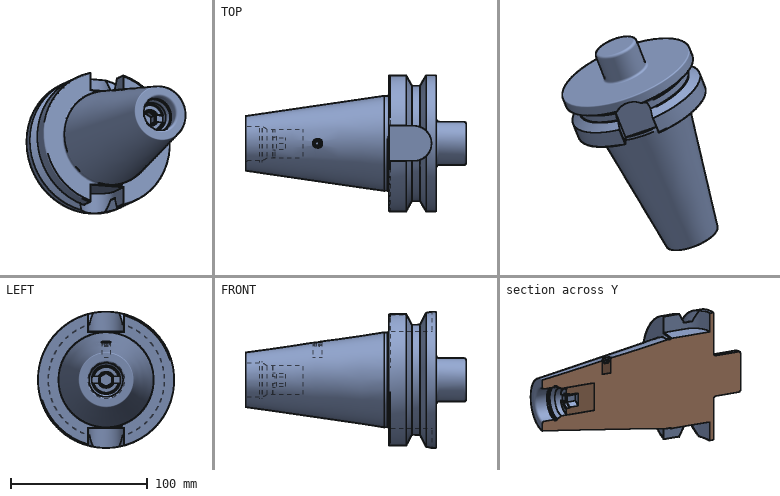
import cadquery as cq
import math

GAUGE_X = 101.8
GAUGE_RADIUS = 35.0
TAPER_SLOPE = 7 / 48
TAPER_END_RADIUS = GAUGE_RADIUS - GAUGE_X * TAPER_SLOPE
TAPER_END_FILLET = 0.6

NECK_START_X = 102.7
NECK_RADIUS = 34.8

FLANGE_FRONT_X = 104.8
FLANGE_BACK_X = 139.8
FLANGE_RADIUS = 50.0
EDGE_FILLET = 1.0
GROOVE_FILLET = 0.6
GROOVE_FLOOR_RADIUS = 42.4
GROOVE_START_X = 117.6
GROOVE_FLOOR_START_X = 121.8
GROOVE_FLOOR_END_X = 127.8
GROOVE_END_X = 132.2

SPIGOT_END_X = 161.8
SPIGOT_RADIUS = 16.0
SPIGOT_ROOT_FILLET = 1.8
SPIGOT_END_FILLET = 2.1

SLOT_WIDTH = 25.7
SLOT_FLOOR_Z = 35.5
SLOT_END_X = 136.2
SLOT_CHAMFER = 0.5

PILOT_RADIUS = 12.5
PILOT_END_X = 12.3
MOUTH_FILLET = 1.8
RING_GROOVE_START_X = 10.0
RING_GROOVE_END_X = 11.8
RING_GROOVE_RADIUS = 13.5
LEAD_IN_RADIUS = 11.0
LEAD_IN_END_X = 14.9
THREAD_RADIUS = 10.5
THREAD_START_X = 15.4

PLUG_FACE_X = 19.4
PLUG_LENGTH = 22.7
PLUG_CHAMFER_WIDTH = 1.1
PLUG_CHAMFER_LENGTH = 0.6
PLUG_SLOT_WIDTH = 5.3
PLUG_SLOT_DEPTH = 2.0
PLUG_HEX_FLATS = 8.4
PLUG_HEX_DEPTH = 9.7
PLUG_RECESS_RADIUS = 5.3
PLUG_RECESS_DEPTH = 2.9
PLUG_RECESS_CHAMFER = 0.6
PLUG_END_X = PLUG_FACE_X + PLUG_LENGTH

CROSS_X = 52.5
CROSS_RADIUS = 3.2
CROSS_MOUTH_RADIUS = 3.5
CROSS_HEAD_DEPTH = 1.5
CROSS_LENGTH = 9.7
CROSS_CHAMFER = 1.0
CROSS_HEX_FLATS = 2.8
CROSS_HEX_DEPTH = 1.6
CROSS_SURFACE_Z = TAPER_END_RADIUS + CROSS_X * TAPER_SLOPE
CROSS_HEAD_Z = CROSS_SURFACE_Z - CROSS_HEAD_DEPTH


def turned(outline):
    """Solid of revolution about the X axis from a closed (x, radius) outline."""
    return cq.Workplane("XY").polyline(outline).close().revolve(360, (0, 0, 0), (1, 0, 0))


def hex_corner_circle(flats):
    """Diameter of the circle through the corners of a hexagon of this width across flats."""
    return flats / math.cos(math.pi / 6)


def fillet_ring(body, x, radius, fillet_radius):
    """Round the circular edge that passes through (x, radius)."""
    corner = cq.Vector(x, radius, 0)
    rings = [edge for edge in body.edges().vals() if edge.startPoint().sub(corner).Length < 1.62e-06]
    return body.newObject(rings).fillet(fillet_radius)


def make_arbor_blank():
    blank = turned([
        (0, 0),
        (0, TAPER_END_RADIUS),
        (GAUGE_X, GAUGE_RADIUS),
        (NECK_START_X, NECK_RADIUS),
        (FLANGE_FRONT_X, NECK_RADIUS),
        (FLANGE_FRONT_X, FLANGE_RADIUS),
        (GROOVE_START_X, FLANGE_RADIUS),
        (GROOVE_FLOOR_START_X, GROOVE_FLOOR_RADIUS),
        (GROOVE_FLOOR_END_X, GROOVE_FLOOR_RADIUS),
        (GROOVE_END_X, FLANGE_RADIUS),
        (FLANGE_BACK_X, FLANGE_RADIUS),
        (FLANGE_BACK_X, SPIGOT_RADIUS),
        (SPIGOT_END_X, SPIGOT_RADIUS),
        (SPIGOT_END_X, 0),
    ])
    rounded_corners = [
        (0, TAPER_END_RADIUS, TAPER_END_FILLET),
        (FLANGE_FRONT_X, NECK_RADIUS, EDGE_FILLET),
        (FLANGE_FRONT_X, FLANGE_RADIUS, EDGE_FILLET),
        (GROOVE_FLOOR_START_X, GROOVE_FLOOR_RADIUS, GROOVE_FILLET),
        (GROOVE_FLOOR_END_X, GROOVE_FLOOR_RADIUS, GROOVE_FILLET),
        (FLANGE_BACK_X, FLANGE_RADIUS, EDGE_FILLET),
        (FLANGE_BACK_X, SPIGOT_RADIUS, SPIGOT_ROOT_FILLET),
        (SPIGOT_END_X, SPIGOT_RADIUS, SPIGOT_END_FILLET),
    ]
    for x, radius, fillet_radius in rounded_corners:
        blank = fillet_ring(blank, x, radius, fillet_radius)
    return blank


def make_drive_slot():
    """Cutter for the round-ended slot above the axis, with its front and outer edge chamfers."""
    half_width = SLOT_WIDTH / 2
    arc_centre_x = SLOT_END_X - half_width
    slot_height = FLANGE_RADIUS - SLOT_FLOOR_Z
    slot = (
        cq.Workplane("XY", origin=(0, 0, SLOT_FLOOR_Z))
        .moveTo(GAUGE_X, -half_width)
        .lineTo(arc_centre_x, -half_width)
        .threePointArc((SLOT_END_X, 0), (arc_centre_x, half_width))
        .lineTo(GAUGE_X, half_width)
        .close()
        .extrude(slot_height)
    )
    front_chamfer = (
        cq.Workplane("YZ", origin=(FLANGE_FRONT_X, 0, FLANGE_RADIUS))
        .rect(SLOT_WIDTH + 2 * SLOT_CHAMFER, 2 * (slot_height + SLOT_CHAMFER))
        .extrude(SLOT_CHAMFER, taper=45)
    )
    corner_z = math.sqrt(FLANGE_RADIUS**2 - half_width**2)
    outer_chamfer = (
        cq.Workplane("YZ", origin=(FLANGE_FRONT_X, 0, 0))
        .moveTo(-half_width, corner_z - SLOT_CHAMFER)
        .lineTo(half_width, corner_z - SLOT_CHAMFER)
        .lineTo(half_width + 2 * SLOT_CHAMFER, corner_z + SLOT_CHAMFER)
        .lineTo(-half_width - 2 * SLOT_CHAMFER, corner_z + SLOT_CHAMFER)
        .close()
        .extrude(GROOVE_START_X - FLANGE_FRONT_X)
    )
    return slot.union(front_chamfer).union(outer_chamfer)


def make_bore():
    """Stepped blind bore, as deep as the far end of the plug."""
    return turned([
        (0, 0),
        (0, PILOT_RADIUS),
        (RING_GROOVE_START_X, PILOT_RADIUS),
        (RING_GROOVE_START_X, RING_GROOVE_RADIUS),
        (RING_GROOVE_END_X, RING_GROOVE_RADIUS),
        (RING_GROOVE_END_X, PILOT_RADIUS),
        (PILOT_END_X, PILOT_RADIUS),
        (LEAD_IN_END_X, LEAD_IN_RADIUS),
        (THREAD_START_X, THREAD_RADIUS),
        (PLUG_END_X, THREAD_RADIUS),
        (PLUG_END_X, 0),
    ])


def make_cross_hole():
    """Blind hole down to the foot of the cross screw, with a countersunk mouth."""
    foot_z = CROSS_HEAD_Z - CROSS_LENGTH
    hole = cq.Workplane("XY", origin=(CROSS_X, 0, foot_z)).circle(CROSS_RADIUS).extrude(2 * CROSS_LENGTH)
    mouth_depth = CROSS_MOUTH_RADIUS - CROSS_RADIUS
    mouth = cq.Workplane("XY").add(cq.Solid.makeCone(
        CROSS_RADIUS, CROSS_MOUTH_RADIUS + mouth_depth, 2 * mouth_depth,
        pnt=cq.Vector(CROSS_X, 0, CROSS_SURFACE_Z - mouth_depth)))
    return hole.union(mouth)


def make_arbor():
    arbor = make_arbor_blank().cut(make_bore())
    arbor = fillet_ring(arbor, 0, PILOT_RADIUS, MOUTH_FILLET)
    slot = make_drive_slot()
    arbor = arbor.cut(slot).cut(slot.mirror("XY"))
    return arbor.cut(make_cross_hole())


def make_plug():
    plug = turned([
        (PLUG_FACE_X, 0),
        (PLUG_FACE_X, THREAD_RADIUS - PLUG_CHAMFER_WIDTH),
        (PLUG_FACE_X + PLUG_CHAMFER_LENGTH, THREAD_RADIUS),
        (PLUG_END_X, THREAD_RADIUS),
        (PLUG_END_X, 0),
    ])
    face = cq.Workplane("YZ", origin=(PLUG_FACE_X, 0, 0))
    slot = face.rect(2 * THREAD_RADIUS, PLUG_SLOT_WIDTH).extrude(PLUG_SLOT_DEPTH)
    corner_up = face.transformed(rotate=(0, 0, 90))
    socket = corner_up.polygon(6, hex_corner_circle(PLUG_HEX_FLATS)).extrude(PLUG_HEX_DEPTH)
    recess = turned([
        (PLUG_FACE_X, 0),
        (PLUG_FACE_X, PLUG_RECESS_RADIUS + PLUG_RECESS_CHAMFER),
        (PLUG_FACE_X + PLUG_RECESS_CHAMFER, PLUG_RECESS_RADIUS),
        (PLUG_FACE_X + PLUG_RECESS_DEPTH, PLUG_RECESS_RADIUS),
        (PLUG_FACE_X + PLUG_RECESS_DEPTH, 0),
    ])
    return plug.cut(slot).cut(socket).cut(recess)


def make_cross_screw():
    screw = (
        cq.Workplane("XY", origin=(CROSS_X, 0, CROSS_HEAD_Z))
        .circle(CROSS_RADIUS)
        .extrude(-CROSS_LENGTH)
        .faces(">Z")
        .chamfer(CROSS_CHAMFER)
    )
    socket = (
        cq.Workplane("XY", origin=(CROSS_X, 0, CROSS_HEAD_Z))
        .polygon(6, hex_corner_circle(CROSS_HEX_FLATS))
        .extrude(-CROSS_HEX_DEPTH)
    )
    return screw.cut(socket)


arbor = make_arbor()
plug = make_plug()
cross_screw = make_cross_screw()
result = cq.Compound.makeCompound([arbor.val(), plug.val(), cross_screw.val()])